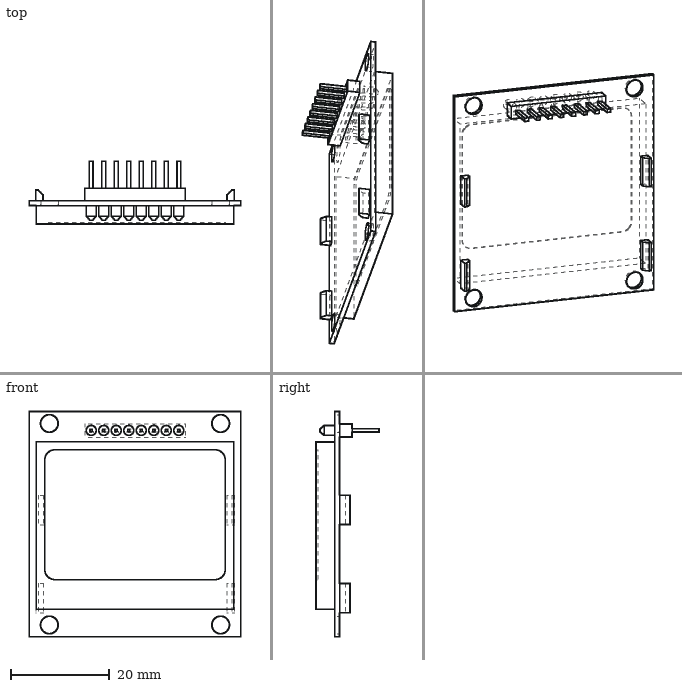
import cadquery as cq

board_width = 43.0
board_height = 45.75
board_thickness = 1.0
mount_hole_diameter = 3.5
mount_hole_spacing_x = 34.75
mount_hole_spacing_z = 40.9

module_width = 40.1
module_height = 34.0
module_depth = 3.8
module_top_gap = 6.18
window_width = 36.6
window_height = 26.35
window_top_gap = 1.6
window_corner_radius = 2.0
window_recess = 0.35

pin_count = 8
pin_pitch = 2.54
pin_row_top_gap = 3.85
header_width = 20.45
header_height = 2.7
header_depth = 2.5
pin_length = 5.5
pin_width = 0.82
pin_thickness = 0.75
joint_diameter = 2.0
joint_length = 2.15
joint_tip_diameter = 0.5
joint_tip_length = 0.85

tab_outer_x = 20.18
tab_width = 1.5
tab_depth = 2.15
tab_bevel = 1.0
tab_height = 6.0
tab_top_gaps = (16.97, 34.9)

board_top = board_height / 2
board_back = board_thickness
module_front = -module_depth
module_top = board_top - module_top_gap
pin_row_z = board_top - pin_row_top_gap
header_back = board_back + header_depth
pin_positions = [(i - (pin_count - 1) / 2) * pin_pitch for i in range(pin_count)]


def block(width, height, y_front, depth, x_center, z_center):
    """Box running from y_front toward +Y, centred on the given X and Z."""
    return (
        cq.Workplane("XY")
        .box(width, depth, height, centered=(True, False, True))
        .translate((x_center, y_front, z_center))
    )


def make_board():
    plate = block(board_width, board_height, 0, board_thickness, 0, 0)
    holes = (
        cq.Workplane("XZ")
        .rarray(mount_hole_spacing_x, mount_hole_spacing_z, 2, 2)
        .circle(mount_hole_diameter / 2)
        .extrude(-board_thickness)
    )
    return plate.cut(holes)


def make_module():
    body_z = module_top - module_height / 2
    window_z = module_top - window_top_gap - window_height / 2
    body = block(module_width, module_height, module_front, module_depth, 0, body_z)
    window = block(window_width, window_height, module_front, window_recess, 0, window_z)
    return body.cut(window.edges("|Y").fillet(window_corner_radius))


def make_solder_joint(x):
    """Round joint on the front face, tapering to a small flat tip."""
    joint_radius = joint_diameter / 2
    tip_radius = joint_tip_diameter / 2
    tip_y = -(joint_length + joint_tip_length)
    return (
        cq.Workplane("XY")
        .lineTo(joint_radius, 0)
        .lineTo(joint_radius, -joint_length)
        .lineTo(tip_radius, tip_y)
        .lineTo(0, tip_y)
        .close()
        .revolve(360, (0, 0), (0, 1))
        .translate((x, 0, pin_row_z))
    )


def make_header():
    header = block(header_width, header_height, board_back, header_depth, 0, pin_row_z)
    for x in pin_positions:
        header = header.union(block(pin_width, pin_thickness, header_back, pin_length, x, pin_row_z))
    return header


def make_tab(side, top_gap):
    """Clip tab at the left (side = -1) or right (side = 1) edge of the board."""
    inner_x = tab_outer_x - tab_width
    tab_back = board_back + tab_depth
    profile = [
        (side * tab_outer_x, board_back),
        (side * tab_outer_x, tab_back),
        (side * (inner_x + tab_bevel), tab_back),
        (side * inner_x, tab_back - tab_bevel),
        (side * inner_x, board_back),
    ]
    tab_bottom = board_top - top_gap - tab_height
    return cq.Workplane("XY").workplane(offset=tab_bottom).polyline(profile).close().extrude(tab_height)


result = make_board().union(make_module()).union(make_header())
for pin_x in pin_positions:
    result = result.union(make_solder_joint(pin_x))
for tab_side in (-1, 1):
    for tab_top_gap in tab_top_gaps:
        result = result.union(make_tab(tab_side, tab_top_gap))